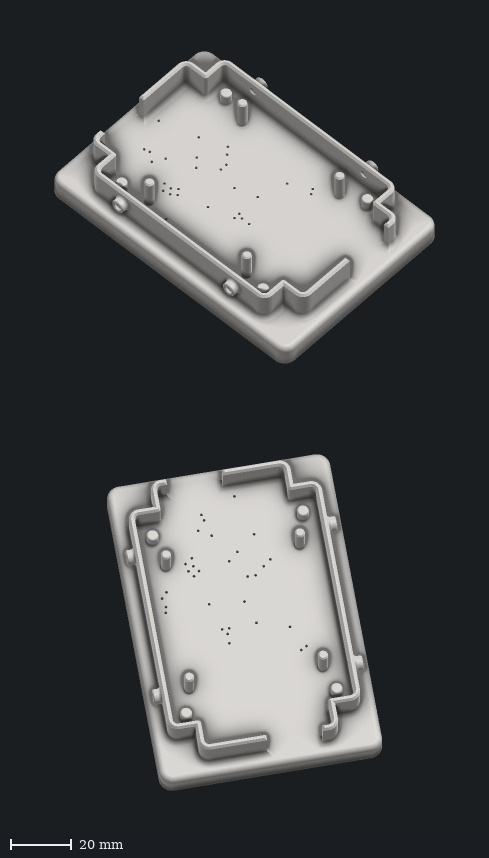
import cadquery as cq

LENGTH = 106.6
WIDTH = 74.6
HEIGHT = 19.6

BASE_HEIGHT = 8.1
BASE_CORNER_RADIUS = 4.5
BASE_RIM_RADIUS = 2.1

WALL_HALF_LENGTH = 48.4
WALL_HALF_WIDTH = 32.3
STEP_HALF_LENGTH = 39.4
STEP_HALF_WIDTH = 23.3
WALL_THICKNESS = 2.0
WALL_CORNER_RADIUS = 3.6
STEP_EDGE_RADIUS = 1.1
WALL_FOOT_RADIUS = 1.9
WALL_TOP_CHAMFER = 0.7
WALL_HEIGHT = HEIGHT - BASE_HEIGHT

GAP_NEAR_Y = -1.0
GAP_FAR_Y = 17.7

BOSS_XS = (-24.6, 25.4)
BOSS_Z = 15.1
BOSS_TIP_Y = 35.1
BOSS_DIAMETER = 5.0
BOSS_BORE = 2.8
BOSS_FOOT_RADIUS = 1.2
BOSS_RIM_CHAMFER = 0.3

PIN_X = 22.0
PIN_Y = 22.4
PIN_DIAMETER = 3.3
PIN_TOP_Z = 19.4
PIN_FOOT_RADIUS = 0.5
PIN_CHAMFER = 0.5

STUD_X = 31.9
STUD_Y = 25.2
STUD_DIAMETER = 3.9
STUD_HEIGHT = 5.0
STUD_FOOT_RADIUS = 1.0
STUD_TOP_RADIUS = 0.7

PICK_MARGIN = 0.5

PINHOLE_DIAMETER = 0.95
PINHOLE_CENTERS = [
    (13.6, 18.3), (14.7, 16.4), (6.0, 14.2), (-18.7, 11.9), (-16.6, 9.4),
    (-28.4, 8.2), (-14.0, 6.2), (-14.0, 3.5), (-42.6, 4.2), (2.7, 3.5),
    (-23.1, 1.7), (-5.4, 1.0), (-20.4, -1.5), (-30.3, -5.6), (3.0, -5.6),
    (4.9, -6.5), (8.2, -6.5), (-36.0, -7.1), (-38.1, -7.7), (3.0, -8.0),
    (-32.7, -9.7), (-6.5, -10.7), (-18.7, -11.9), (-23.6, -13.4), (-20.7, -13.4),
    (-17.2, -13.9), (-19.2, -15.4), (-21.9, -15.9), (-13.1, -23.8),
    (-8.0, -24.8), (-6.0, -25.3), (-11.2, -25.6),
]


def box_around(half_x, half_y, center_x, center_y, z_low, z_high):
    """Selector for the edges whose centres lie in an upright box."""
    return cq.selectors.BoxSelector(
        (center_x - half_x, center_y - half_y, z_low),
        (center_x + half_x, center_y + half_y, z_high),
    )


def four_corners(x, y):
    """The four mirror images of a point about the X and Y axes."""
    return [(sx * x, sy * y) for sx in (-1, 1) for sy in (-1, 1)]


def make_base():
    base = cq.Workplane("XY").rect(LENGTH, WIDTH).extrude(BASE_HEIGHT)
    base = base.edges("|Z").fillet(BASE_CORNER_RADIUS)
    return base.faces(">Z").edges().fillet(BASE_RIM_RADIUS)


def wall_arm(half_x, half_y, corner_radius):
    """Rounded rectangular block standing on the plate, as tall as the wall."""
    block = cq.Workplane("XY", origin=(0, 0, BASE_HEIGHT)).rect(2 * half_x, 2 * half_y).extrude(WALL_HEIGHT)
    return block.edges("|Z").fillet(corner_radius)


def stepped_block(inset, corner_radius):
    """Cross-shaped block whose sides lie inset from the outer wall face."""
    long_arm = wall_arm(WALL_HALF_LENGTH - inset, STEP_HALF_WIDTH - inset, corner_radius)
    wide_arm = wall_arm(STEP_HALF_LENGTH - inset, WALL_HALF_WIDTH - inset, corner_radius)
    return long_arm.union(wide_arm)


def make_wall():
    outer = stepped_block(0, WALL_CORNER_RADIUS)
    inner = stepped_block(WALL_THICKNESS, WALL_CORNER_RADIUS - WALL_THICKNESS)
    for x, y in four_corners(STEP_HALF_LENGTH - WALL_THICKNESS, STEP_HALF_WIDTH - WALL_THICKNESS):
        step_edge = box_around(PICK_MARGIN, PICK_MARGIN, x, y, BASE_HEIGHT, HEIGHT)
        inner = inner.edges(step_edge).fillet(STEP_EDGE_RADIUS)
    wall = outer.cut(inner)

    gap_width = GAP_FAR_Y - GAP_NEAR_Y
    gap_y = (GAP_FAR_Y + GAP_NEAR_Y) / 2
    opening = cq.Workplane("XY").box(2 * WALL_CORNER_RADIUS, gap_width, 2 * HEIGHT)
    for side in (-1, 1):
        wall = wall.cut(opening.translate((side * WALL_HALF_LENGTH, side * gap_y, HEIGHT)))
    return wall.faces(">Z").edges().chamfer(WALL_TOP_CHAMFER)


def blend_wall_foot(body):
    """Round the joint between wall and plate, inside, outside and at the free ends."""
    foot_edges = box_around(
        WALL_HALF_LENGTH + PICK_MARGIN,
        WALL_HALF_WIDTH + PICK_MARGIN,
        0,
        0,
        BASE_HEIGHT - PICK_MARGIN,
        BASE_HEIGHT + PICK_MARGIN,
    )
    return body.edges(foot_edges).fillet(WALL_FOOT_RADIUS)


def turned_post(diameter, height, foot_radius):
    """Round post standing on Z = 0 with a concave blend at its foot."""
    radius = diameter / 2
    return (
        cq.Workplane("XZ")
        .lineTo(radius + foot_radius, 0)
        .radiusArc((radius, foot_radius), foot_radius)
        .lineTo(radius, height)
        .lineTo(0, height)
        .close()
        .revolve(360, (0, 0), (0, 1))
    )


def add_posts(body):
    """One tall pin and one short stud near every corner."""
    pin = turned_post(PIN_DIAMETER, PIN_TOP_Z - BASE_HEIGHT, PIN_FOOT_RADIUS)
    pin = pin.faces(">Z").edges().chamfer(PIN_CHAMFER)
    stud = turned_post(STUD_DIAMETER, STUD_HEIGHT, STUD_FOOT_RADIUS)
    stud = stud.faces(">Z").edges().fillet(STUD_TOP_RADIUS)
    for post, place_x, place_y in ((pin, PIN_X, PIN_Y), (stud, STUD_X, STUD_Y)):
        for x, y in four_corners(place_x, place_y):
            body = body.union(post.translate((x, y, BASE_HEIGHT)))
    return body


def add_bosses(body):
    """Bosses on the outside of both long walls, bored through boss and wall."""
    boss = turned_post(BOSS_DIAMETER, BOSS_TIP_Y - WALL_HALF_WIDTH, BOSS_FOOT_RADIUS)
    boss = boss.faces(">Z").workplane().hole(BOSS_BORE)
    boss = boss.faces(">Z").edges().chamfer(BOSS_RIM_CHAMFER)
    for x in BOSS_XS:
        for side in (-1, 1):
            outward_boss = boss.rotate((0, 0, 0), (1, 0, 0), -90 * side)
            body = body.union(outward_boss.translate((x, side * WALL_HALF_WIDTH, BOSS_Z)))
        bore = cq.Workplane("XZ", origin=(x, 0, BOSS_Z)).circle(BOSS_BORE / 2).extrude(WIDTH / 2, both=True)
        body = body.cut(bore)
    return body


def cut_pinholes(body):
    holes = cq.Workplane("XY").pushPoints(PINHOLE_CENTERS).circle(PINHOLE_DIAMETER / 2).extrude(BASE_HEIGHT)
    return body.cut(holes)


plate_with_wall = blend_wall_foot(make_base().union(make_wall()))
result = cut_pinholes(add_bosses(add_posts(plate_with_wall)))